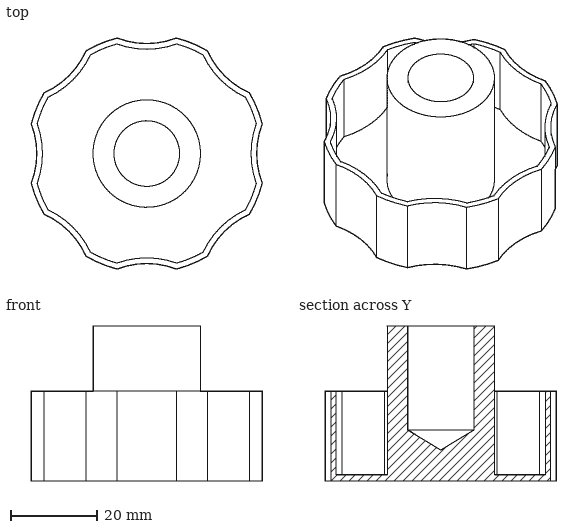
import cadquery as cq
import math

across_tips = 53.7
total_height = 36.05
cup_height = 20.9
wall = 1.35
floor_thickness = 1.5

scallop_count = 8
scallop_chord = 13.75
scallop_depth = 1.3

hub_diameter = 25.0
hole_diameter = 15.25
hole_depth = 24.2
drill_tip_angle = 118.0

half_pitch = math.pi / scallop_count
tip_radius = math.hypot(across_tips / 2, scallop_chord / 2)
valley_radius = across_tips / 2 - scallop_depth
tip_half_angle = math.atan2(scallop_chord / 2, across_tips / 2)


def polar(radius, angle):
    return (radius * math.cos(angle), radius * math.sin(angle))


def scalloped_outline():
    """Closed outline alternating concave scallops with convex lobes."""
    outline = cq.Workplane("XY").moveTo(*polar(tip_radius, -tip_half_angle))
    for i in range(scallop_count):
        valley = 2 * i * half_pitch
        lobe = valley + half_pitch
        next_valley = valley + 2 * half_pitch
        outline = outline.threePointArc(
            polar(valley_radius, valley), polar(tip_radius, valley + tip_half_angle)
        )
        outline = outline.threePointArc(
            polar(tip_radius, lobe), polar(tip_radius, next_valley - tip_half_angle)
        )
    return outline.close()


def scalloped_cup():
    """Open-topped cup whose wall follows the scallops at even thickness."""
    outer = scalloped_outline().extrude(cup_height)
    cavity = (
        scalloped_outline()
        .offset2D(-wall)
        .extrude(cup_height - floor_thickness)
        .translate((0, 0, floor_thickness))
    )
    return outer.cut(cavity)


def hub():
    return cq.Workplane("XY").circle(hub_diameter / 2).extrude(total_height)


def drilled_hole():
    """Blind hole from the hub top, ending in a conical drill point."""
    radius = hole_diameter / 2
    shoulder_z = total_height - hole_depth
    tip_z = shoulder_z - radius / math.tan(math.radians(drill_tip_angle / 2))
    return (
        cq.Workplane("XZ")
        .moveTo(0, total_height)
        .lineTo(radius, total_height)
        .lineTo(radius, shoulder_z)
        .lineTo(0, tip_z)
        .close()
        .revolve(360, (0, 0, 0), (0, 1, 0))
    )


result = scalloped_cup().union(hub()).cut(drilled_hole())